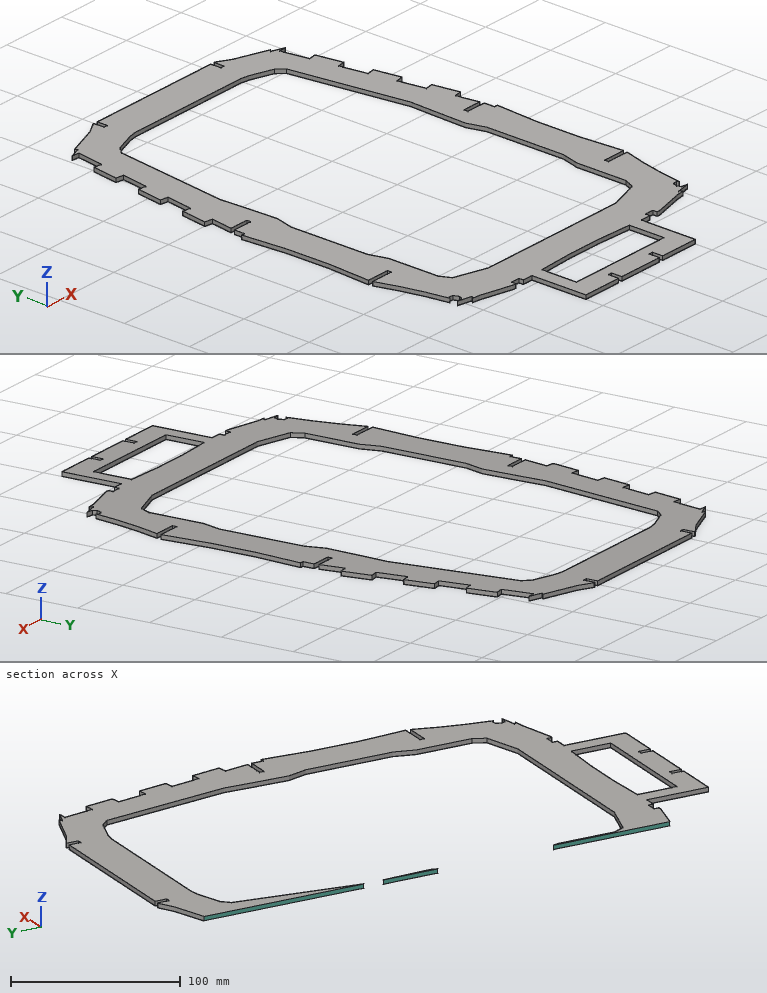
import cadquery as cq
import math

thickness = 3.0
length = 374.0
top_y = length / 2
bottom_y = -length / 2
slot_width = 3.0

end_slot_depth = 8.0
top_slot_x = -53.5
handle_slot_x = -18.7
side_slot_start_x = -119.5
side_slot_end_x = -99.5
upper_side_slot_y = 30.5
lower_side_slot_y = -77.5
side_edge_x = -117.0

handle_half_width = 50.0
window_half_width = 40.0
window_bottom_y = -171.3
window_top_y = -144.7
window_crown = 1.5
frame_bottom_y = -145.5

notch_left_x = -64.7
notch_right_x = -58.0
notch_depth = 3.5

slope_top = (-92.0, 167.5)
slope_bottom = (-114.5, upper_side_slot_y - slot_width / 2)
tab_count = 3
tab_length = 20.0
tab_pitch = 40.0
tab_height = 6.0
first_tab_offset = 20.5


def box(x_min, x_max, y_min, y_max):
    """Rectangular block through the plate thickness."""
    block = cq.Workplane("XY").box(x_max - x_min, y_max - y_min, thickness, centered=False)
    return block.translate((x_min, y_min, 0))


def left_body():
    """Left half of the plate, without tabs, slots or openings."""
    shoulder_y = 21.5
    waist_x = -114.5
    return (
        cq.Workplane("XY")
        .moveTo(0, top_y)
        .lineTo(-55.7, top_y)
        .lineTo(-65.5, 181.5)
        .lineTo(-89.8, 172.8)
        .lineTo(-88.3, 171.3)
        .lineTo(-97.5, 168.0)
        .lineTo(*slope_top)
        .lineTo(*slope_bottom)
        .lineTo(slope_bottom[0], shoulder_y)
        .lineTo(side_edge_x, shoulder_y)
        .threePointArc((waist_x, (shoulder_y + lower_side_slot_y) / 2), (side_edge_x, lower_side_slot_y))
        .threePointArc((-110.0, -102.5), (-105.0, -128.5))
        .lineTo(-104.0, -127.0)
        .lineTo(-101.0, -127.5)
        .lineTo(-99.5, -131.3)
        .lineTo(-100.5, -134.0)
        .lineTo(-105.5, -134.5)
        .lineTo(-94.5, -137.0)
        .lineTo(-96.5, -138.8)
        .lineTo(-90.5, -139.5)
        .lineTo(-67.0, frame_bottom_y)
        .lineTo(-handle_half_width, frame_bottom_y)
        .lineTo(-handle_half_width, bottom_y)
        .lineTo(0, bottom_y)
        .close()
        .extrude(thickness)
    )


def side_tabs():
    """Evenly spaced tabs standing square to the sloping upper side."""
    run_x = slope_bottom[0] - slope_top[0]
    run_y = slope_bottom[1] - slope_top[1]
    tilt = math.degrees(math.atan2(-run_x, -run_y))
    tabs = cq.Workplane("XY")
    for index in range(tab_count):
        tab_start = first_tab_offset + index * tab_pitch
        tabs = tabs.union(box(-tab_height, tab_height, -tab_start - tab_length, -tab_start))
    return tabs.rotate((0, 0, 0), (0, 0, 1), -tilt).translate((*slope_top, 0))


def left_slots():
    """Plate slots and the shallow notch beside the handle."""
    half_slot = slot_width / 2
    notch = box(notch_left_x, notch_right_x, frame_bottom_y, frame_bottom_y + notch_depth)
    top_slot = box(top_slot_x - half_slot, top_slot_x + half_slot, top_y - end_slot_depth, top_y)
    handle_slot = box(
        handle_slot_x - half_slot, handle_slot_x + half_slot, bottom_y, bottom_y + end_slot_depth
    )
    slots = notch.union(top_slot).union(handle_slot)
    for slot_y in (upper_side_slot_y, lower_side_slot_y):
        slots = slots.union(box(side_slot_start_x, side_slot_end_x, slot_y - half_slot, slot_y + half_slot))
    return slots


def left_opening():
    """Left half of the large central opening."""
    opening_top_y = 160.5
    opening_bottom_y = -119.0
    side_x = -86.0
    waist_x = -89.8
    return (
        cq.Workplane("XY")
        .moveTo(0, opening_top_y)
        .lineTo(-48.2, opening_top_y)
        .lineTo(-54.5, 159.5)
        .lineTo(-70.5, 153.7)
        .lineTo(-75.5, 148.5)
        .lineTo(-87.5, 63.0)
        .lineTo(-86.8, 45.0)
        .lineTo(side_x, 20.0)
        .lineTo(waist_x, 6.5)
        .lineTo(waist_x, -52.5)
        .lineTo(side_x, -66.0)
        .lineTo(side_x, -103.5)
        .lineTo(-82.3, -111.5)
        .lineTo(-58.5, opening_bottom_y)
        .lineTo(0, opening_bottom_y)
        .close()
        .extrude(thickness)
    )


def handle_window():
    """Grip opening with a slightly crowned top edge."""
    return (
        cq.Workplane("XY")
        .moveTo(-window_half_width, window_bottom_y)
        .lineTo(window_half_width, window_bottom_y)
        .lineTo(window_half_width, window_top_y)
        .threePointArc((0, window_top_y + window_crown), (-window_half_width, window_top_y))
        .close()
        .extrude(thickness)
    )


left_half = left_body().union(side_tabs()).cut(left_slots()).cut(left_opening())
result = left_half.union(left_half.mirror("YZ")).cut(handle_window())